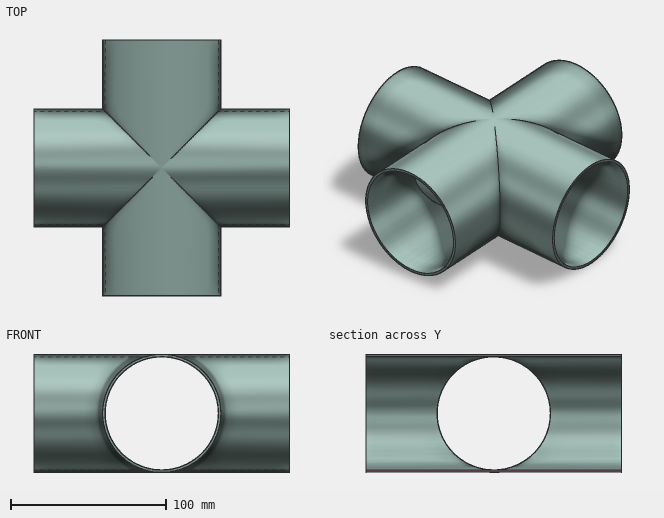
import cadquery as cq

length = 165.1
outer_diameter = 76.3
inner_diameter = 73.0


def crossed_cylinders(diameter):
    """Two equal full-length cylinders, along X and Y, meeting at the origin."""
    along_x = cq.Workplane("YZ").circle(diameter / 2).extrude(length / 2, both=True)
    along_y = cq.Workplane("XZ").circle(diameter / 2).extrude(length / 2, both=True)
    return along_x.union(along_y)


result = crossed_cylinders(outer_diameter).cut(crossed_cylinders(inner_diameter))